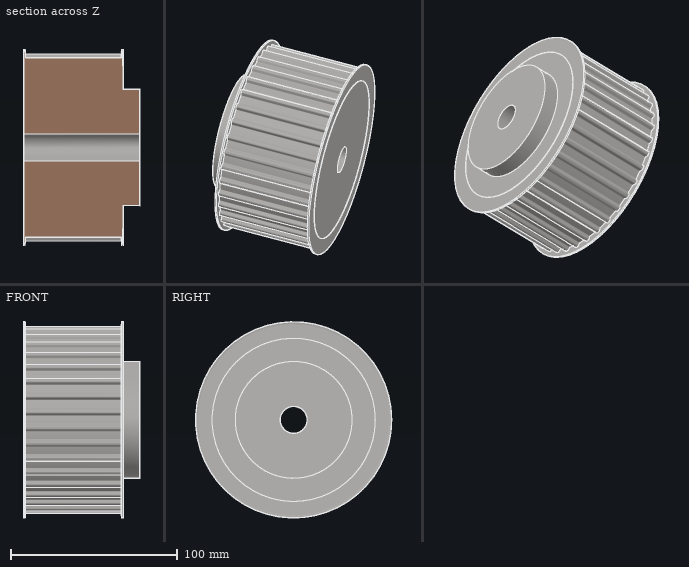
import cadquery as cq
import math

overall_length = 70.0
hub_length = 10.0
hub_diameter = 70.2
bore_diameter = 16.0

flange_diameter = 118.0
flange_flat_diameter = 114.8
flange_thickness = 1.0
lip_flare = 0.2
spigot_diameter = 98.0

tooth_count = 36
tip_diameter = 112.8
tooth_depth = 2.4
tooth_tip_width = 2.5
flank_tilt = 20.0
tip_fillet = 1.2
root_fillet = 0.53

pulley_width = overall_length - hub_length
flange_depth = lip_flare + flange_thickness
toothed_width = pulley_width - 2 * flange_depth
tip_radius = tip_diameter / 2
root_radius = tip_radius - tooth_depth
tooth_root_width = tooth_tip_width + 2 * tooth_depth * math.tan(math.radians(flank_tilt))
pitch_angle = 360 / tooth_count


def cylinder(diameter, start, length):
    """Cylinder along X that begins at the given X position."""
    return cq.Workplane("YZ", origin=(start, 0, 0)).circle(diameter / 2).extrude(length)


def polar(radius, angle):
    """Point in the YZ plane at a radius and an angle in degrees."""
    return radius * math.cos(math.radians(angle)), radius * math.sin(math.radians(angle))


def half_angle(width, radius):
    """Half of the angle, in degrees, that a chord of this width spans."""
    return math.degrees(math.asin(width / 2 / radius))


def lengthwise_edges(body, radius):
    """Edges of the body that run along X at this distance from the axis."""
    tolerance = 0.01
    edges = body.edges("|X").vals()
    on_radius = [
        edge for edge in edges
        if abs(math.hypot(edge.Center().y, edge.Center().z) - radius) < tolerance
    ]
    return body.newObject(on_radius)


def toothed_rim():
    """Rim between the flanges, with a gap between two teeth centred on +Y."""
    tip_half = half_angle(tooth_tip_width, tip_radius)
    root_half = half_angle(tooth_root_width, root_radius)
    start = polar(root_radius, root_half - pitch_angle / 2)
    outline = cq.Workplane("YZ", origin=(flange_depth, 0, 0)).moveTo(*start)
    for index in range(tooth_count):
        gap_middle = index * pitch_angle
        tooth_middle = gap_middle + pitch_angle / 2
        outline = (
            outline
            .threePointArc(polar(root_radius, gap_middle), polar(root_radius, tooth_middle - root_half))
            .lineTo(*polar(tip_radius, tooth_middle - tip_half))
            .threePointArc(polar(tip_radius, tooth_middle), polar(tip_radius, tooth_middle + tip_half))
        )
        if index < tooth_count - 1:
            outline = outline.lineTo(*polar(root_radius, tooth_middle + root_half))
    rim = outline.close().extrude(toothed_width)
    rim = lengthwise_edges(rim, root_radius).fillet(root_fillet)
    return lengthwise_edges(rim, tip_radius).fillet(tip_fillet)


def flange():
    """Flange disc at the -X end, its lip flared toward -X."""
    flat_radius = flange_flat_diameter / 2
    rim_radius = flange_diameter / 2
    return (
        cq.Workplane("XY")
        .moveTo(lip_flare, 0)
        .lineTo(lip_flare, flat_radius)
        .lineTo(0, rim_radius)
        .lineTo(flange_thickness, rim_radius)
        .lineTo(flange_depth, flat_radius)
        .lineTo(flange_depth, 0)
        .close()
        .revolve(360, (0, 0, 0), (1, 0, 0))
    )


near_flange = flange()
far_flange = near_flange.mirror("YZ").translate((pulley_width, 0, 0))

spigot = cylinder(spigot_diameter, 0, pulley_width)
hub = cylinder(hub_diameter, pulley_width, hub_length)
bore = cylinder(bore_diameter, 0, overall_length)

result = toothed_rim().union(spigot).union(near_flange).union(far_flange).union(hub).cut(bore)